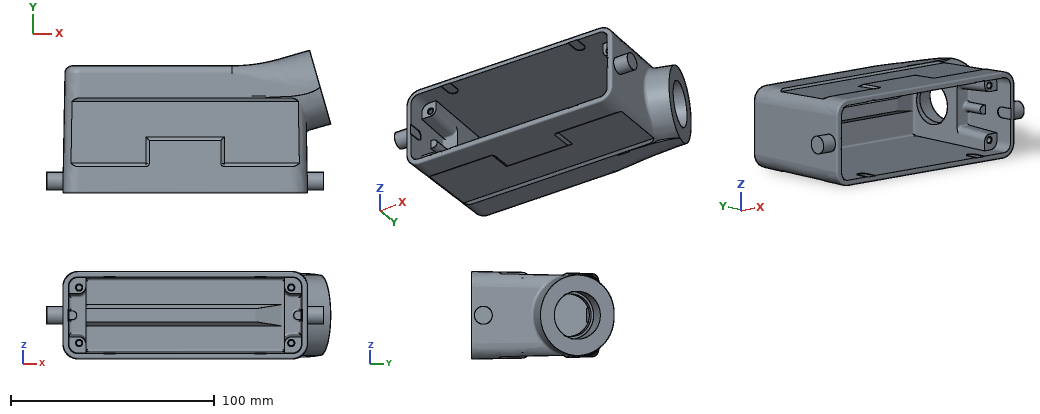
import cadquery as cq
import math

BODY_LENGTH = 120.0
BODY_WIDTH = 43.02
BODY_DEPTH = 62.5
DRAFT_ANGLE = 1.0
DRAFT = math.tan(math.radians(DRAFT_ANGLE))
BODY_CORNER_R = 7.5
ROOF_EDGE_R = 3.8
RIM_EDGE_R = 0.8

CAVITY_LENGTH = 114.4
CAVITY_WIDTH = 37.4
CAVITY_CORNER_R = 4.4
ROOF_THICKNESS = 3.0
CEILING_Y = BODY_DEPTH - ROOF_THICKNESS
CEILING_EDGE_R = 1.0

SHELF_Y = 29.0
SHELF_INNER_X = 48.7
SHELF_FOOT_R = 1.0
POST_FACE_Y = 9.5
POST_TIP_Z = 10.6
POST_BASE_Z = 9.4
POST_EDGE_R = 3.4
SCREW_X = 52.0
SCREW_Z = 13.6
SCREW_D = 2.7
SCREW_MOUTH_D = 3.5
SCREW_DEPTH = 15.0
END_RIB_FACE_Y = 17.4
END_RIB_R = 2.2
END_RIB_REACH = 4.0

RIB_HEIGHT = 3.0
RIB_BASE_WIDTH = 10.4
RIB_TOP_WIDTH = 6.4
RIB_SLOPE_START_X = 34.5
RIB_END_X = 47.0

SLOT_WIDTH = 5.4
SLOT_LENGTH = 9.0
SLOT_DEPTH = 0.2
SLOT_X = 37.0

PIN_D = 8.8
PIN_Y = 5.9
PIN_TIP_X = 67.9

PANEL_DEPTH = 1.0
PANEL_Y0 = 14.7
PANEL_Y1 = 45.0
TAB_LEFT_X = -19.3
TAB_RIGHT_X = 19.2
TAB_TOP_Y = 27.6
PANEL_BEVEL = 1.7

ENTRY_TILT = 16.0
ENTRY_TIP_X = 71.4
ENTRY_TOP_Y = 70.04
ENTRY_HEIGHT = 37.6
ENTRY_WIDTH = 39.4
BLEND_START_X = 22.9
BLEND_STEPS = 3
BLEND_EDGE_R = 13.0
BLEND_EDGE_GROWTH = 1.5
ENTRY_EDGE_R = 18.6
BLEND_BASE_Y = PANEL_Y1 + PANEL_BEVEL
COLLAR_LENGTH = 22.0
COLLAR_FOOT_R = 1.5
TRIM_BEND_X = 44.0
TRIM_OVERLAP = 1.0
TRIM_END_RISE = 4.4
BORE_D = 21.0
THREAD_D = 23.5
THREAD_LENGTH = 12.0
BORE_OVERRUN = 3.0

CUT_MARGIN = 1.0
EDGE_TOLERANCE = 0.1

TILT_SIN = math.sin(math.radians(ENTRY_TILT))
TILT_COS = math.cos(math.radians(ENTRY_TILT))
ENTRY_AXIS = cq.Vector(TILT_COS, TILT_SIN, 0)
ENTRY_UP = cq.Vector(-TILT_SIN, TILT_COS, 0)
ENTRY_TOP = cq.Vector(ENTRY_TIP_X - ENTRY_HEIGHT * TILT_SIN, ENTRY_TOP_Y, 0)
ENTRY_CENTRE = ENTRY_TOP - ENTRY_UP * (ENTRY_HEIGHT / 2)


def body_half_width(y):
    return BODY_WIDTH / 2 - DRAFT * y


def drafted_box(length, width, y0, y1):
    """Box from y0 to y1 whose length and width are given at Y = 0 and shrink with the draft."""
    near = 2 * DRAFT * y0
    far = 2 * DRAFT * y1
    return (
        cq.Workplane("XZ", origin=(0, y0, 0))
        .rect(length - near, width - near)
        .workplane(offset=y0 - y1)
        .rect(length - far, width - far)
        .loft(ruled=True)
    )


def block(x0, x1, y0, y1, z0, z1):
    size = (x1 - x0, y1 - y0, z1 - z0)
    return cq.Workplane("XY").box(*size, centered=False).translate((x0, y0, z0))


def rod(diameter, start, direction, length):
    return cq.Workplane(cq.Solid.makeCylinder(diameter / 2, length, start, direction))


def make_body():
    body = drafted_box(BODY_LENGTH, BODY_WIDTH, 0, BODY_DEPTH)
    side_edges = body.edges("not(<Y or >Y)")
    body = side_edges.fillet(BODY_CORNER_R)
    return body.faces(">Y").edges().fillet(ROOF_EDGE_R).faces("<Y").edges().fillet(RIM_EDGE_R)


def make_panel_recess():
    """Cutter for the +Z panel; its walls lean outwards and it runs out through the rounded corners."""
    half_length = BODY_LENGTH / 2 + CUT_MARGIN
    outline = [
        (-half_length, PANEL_Y0),
        (TAB_LEFT_X, PANEL_Y0),
        (TAB_LEFT_X, TAB_TOP_Y),
        (TAB_RIGHT_X, TAB_TOP_Y),
        (TAB_RIGHT_X, PANEL_Y0),
        (half_length, PANEL_Y0),
        (half_length, PANEL_Y1),
        (-half_length, PANEL_Y1),
    ]
    bevel_angle = math.degrees(math.atan2(PANEL_BEVEL, PANEL_DEPTH))
    panel = cq.Workplane("XY").polyline(outline).close().extrude(2 * PANEL_DEPTH, taper=-bevel_angle)
    middle_y = (PANEL_Y0 + PANEL_Y1) / 2
    floor_z = body_half_width(middle_y) - PANEL_DEPTH
    leaning = panel.rotate((0, middle_y, 0), (1, middle_y, 0), -DRAFT_ANGLE)
    return leaning.translate((0, 0, floor_z))


def blend_section(top, tilt, half_width, base_half_width, edge_r, height):
    """Wire across the cable entry: flat sides and base, rounded upper edges."""
    sin_tilt = math.sin(math.radians(tilt))
    cos_tilt = math.cos(math.radians(tilt))
    plane = cq.Plane(origin=top.toTuple(), xDir=(0, 0, -1), normal=(cos_tilt, sin_tilt, 0))
    inner = half_width - edge_r
    diagonal = edge_r * math.sqrt(0.5)
    return (
        cq.Workplane(plane)
        .moveTo(-base_half_width, -height)
        .lineTo(-half_width, -edge_r)
        .threePointArc((-inner - diagonal, diagonal - edge_r), (-inner, 0))
        .lineTo(inner, 0)
        .threePointArc((inner + diagonal, diagonal - edge_r), (half_width, -edge_r))
        .lineTo(base_half_width, -height)
        .close()
        .wires()
        .val()
    )


def make_entry():
    """Blend rising out of the roof in an arc, ending as a tilted, nearly round collar."""
    tangent_y = ENTRY_TOP.y - BODY_DEPTH
    tangent_x = ENTRY_TOP.x - tangent_y * TILT_COS / TILT_SIN
    tangent_length = tangent_x - BLEND_START_X
    arc_r = tangent_length / math.tan(math.radians(ENTRY_TILT / 2))

    sections = []
    for step in range(BLEND_STEPS + 1):
        share = step / BLEND_STEPS
        tilt = share * ENTRY_TILT
        rise = arc_r * (1 - math.cos(math.radians(tilt)))
        top = cq.Vector(BLEND_START_X + arc_r * math.sin(math.radians(tilt)), BODY_DEPTH + rise, 0)
        edge_r = ROOF_EDGE_R + share**BLEND_EDGE_GROWTH * (BLEND_EDGE_R - ROOF_EDGE_R)
        half_width = body_half_width(top.y - edge_r)
        base_half_width = body_half_width(BLEND_BASE_Y)
        height = top.y - BLEND_BASE_Y
        sections.append(blend_section(top, tilt, half_width, base_half_width, edge_r, height))
    end_half_width = ENTRY_WIDTH / 2
    end_height = ENTRY_HEIGHT / 2
    sections.append(
        blend_section(ENTRY_TOP, ENTRY_TILT, end_half_width, end_half_width, ENTRY_EDGE_R, end_height)
    )
    upper = cq.Workplane(cq.Solid.makeLoft(sections, False))

    collar_plane = cq.Plane(
        origin=ENTRY_CENTRE.toTuple(), xDir=(0, 0, 1), normal=ENTRY_AXIS.toTuple()
    )
    lower = cq.Workplane(collar_plane).ellipse(end_half_width, end_height).extrude(-COLLAR_LENGTH)
    return upper.union(lower)


def make_roof_trim():
    """The roof beyond the start of the blend, which the cable entry replaces."""
    outline = [
        (BLEND_START_X, BODY_DEPTH + CUT_MARGIN),
        (BLEND_START_X, BLEND_BASE_Y + TRIM_OVERLAP),
        (TRIM_BEND_X, BLEND_BASE_Y + TRIM_OVERLAP),
        (BODY_LENGTH / 2 + CUT_MARGIN, BLEND_BASE_Y + TRIM_END_RISE),
        (BODY_LENGTH / 2 + CUT_MARGIN, BODY_DEPTH + CUT_MARGIN),
    ]
    return cq.Workplane("XY").polyline(outline).close().extrude(BODY_WIDTH / 2, both=True)


def round_collar_foot(outer):
    """Round the corner where the underside of the collar meets the end wall."""
    middle_y = ENTRY_CENTRE.y - ENTRY_HEIGHT / 2
    near = (BODY_LENGTH / 2 - COLLAR_FOOT_R, middle_y - COLLAR_FOOT_R, -BODY_CORNER_R)
    far = (BODY_LENGTH / 2, middle_y + COLLAR_FOOT_R, BODY_CORNER_R)
    return outer.edges(cq.selectors.BoxSelector(near, far)).fillet(COLLAR_FOOT_R)


def make_end_fillings():
    """Shelves, corner posts and end ribs left standing inside the cavity, solid up to the ceiling."""
    outer_x = BODY_LENGTH / 2
    outer_z = BODY_WIDTH / 2
    shelf = block(SHELF_INNER_X, outer_x, SHELF_Y, BODY_DEPTH, -outer_z, outer_z)
    post_side = [
        (POST_FACE_Y, POST_TIP_Z),
        (SHELF_Y, POST_BASE_Z),
        (SHELF_Y, outer_z),
        (POST_FACE_Y, outer_z),
    ]
    post = (
        cq.Workplane("YZ", origin=(SHELF_INNER_X, 0, 0))
        .polyline(post_side)
        .close()
        .extrude(outer_x - SHELF_INNER_X)
    )
    post = post.faces("<X").edges("<Z").fillet(POST_EDGE_R)
    rib_x = CAVITY_LENGTH / 2 - END_RIB_REACH + END_RIB_R
    rib_height = SHELF_Y - END_RIB_FACE_Y
    rib = rod(2 * END_RIB_R, cq.Vector(rib_x, END_RIB_FACE_Y, 0), cq.Vector(0, 1, 0), rib_height)
    rib = rib.union(block(rib_x, outer_x, END_RIB_FACE_Y, SHELF_Y, -END_RIB_R, END_RIB_R))
    end = shelf.union(post).union(post.mirror("XY")).union(rib)
    return end.union(end.mirror("YZ"))


def make_ceiling_rib():
    crest_y = CEILING_Y - RIB_HEIGHT
    rib_section = [
        (CEILING_Y + CUT_MARGIN, -RIB_BASE_WIDTH / 2),
        (CEILING_Y, -RIB_BASE_WIDTH / 2),
        (crest_y, -RIB_TOP_WIDTH / 2),
        (crest_y, RIB_TOP_WIDTH / 2),
        (CEILING_Y, RIB_BASE_WIDTH / 2),
        (CEILING_Y + CUT_MARGIN, RIB_BASE_WIDTH / 2),
    ]
    rib = (
        cq.Workplane("YZ", origin=(-SHELF_INNER_X, 0, 0))
        .polyline(rib_section)
        .close()
        .extrude(SHELF_INNER_X + RIB_END_X)
    )
    run_out = (
        cq.Workplane("XY")
        .polyline([(RIB_SLOPE_START_X, crest_y), (RIB_END_X, crest_y), (RIB_END_X, CEILING_Y)])
        .close()
        .extrude(RIB_BASE_WIDTH, both=True)
    )
    return rib.cut(run_out)


def make_cavity():
    cavity = drafted_box(CAVITY_LENGTH, CAVITY_WIDTH, 0, CEILING_Y)
    cavity = cavity.edges("not(<Y or >Y)").fillet(CAVITY_CORNER_R)
    cavity = cavity.cut(make_end_fillings())
    cavity = cavity.faces(">Y").edges().fillet(CEILING_EDGE_R)
    for side in (-1, 1):
        near = (side * (SHELF_INNER_X + CUT_MARGIN), SHELF_Y - EDGE_TOLERANCE, -CAVITY_WIDTH / 3)
        far = (side * BODY_LENGTH / 2, SHELF_Y + EDGE_TOLERANCE, CAVITY_WIDTH / 3)
        cavity = cavity.edges(cq.selectors.BoxSelector(near, far)).fillet(SHELF_FOOT_R)
    return cavity.cut(make_ceiling_rib())


def make_wall_slots():
    """Cutter bars for the slots: two through both broad walls, one through both end walls."""
    round_y = SLOT_LENGTH - SLOT_WIDTH / 2
    half_width = SLOT_WIDTH / 2
    across = CAVITY_WIDTH + 2 * SLOT_DEPTH
    along = CAVITY_LENGTH + 2 * SLOT_DEPTH
    bar = rod(SLOT_WIDTH, cq.Vector(0, round_y, -across / 2), cq.Vector(0, 0, 1), across)
    bar = bar.union(block(-half_width, half_width, 0, round_y, -across / 2, across / 2))
    end_bar = rod(SLOT_WIDTH, cq.Vector(-along / 2, round_y, 0), cq.Vector(1, 0, 0), along)
    end_bar = end_bar.union(block(-along / 2, along / 2, 0, round_y, -half_width, half_width))
    return end_bar.union(bar.translate((SLOT_X, 0, 0))).union(bar.translate((-SLOT_X, 0, 0)))


def make_screw_holes():
    holes = cq.Workplane()
    into = cq.Vector(0, 1, 0)
    flare = (SCREW_MOUTH_D - SCREW_D) / 2
    for x in (-SCREW_X, SCREW_X):
        for z in (-SCREW_Z, SCREW_Z):
            mouth = cq.Vector(x, POST_FACE_Y, z)
            holes = holes.add(cq.Solid.makeCylinder(SCREW_D / 2, SCREW_DEPTH, mouth, into))
            holes = holes.add(cq.Solid.makeCone(SCREW_MOUTH_D / 2, SCREW_D / 2, flare, mouth, into))
    return holes.combine()


def make_entry_bore():
    """Threaded seat from the collar face, then a smaller bore into the cavity."""
    bore_length = (ENTRY_CENTRE.x - RIB_END_X) / TILT_COS + BORE_OVERRUN
    bore = rod(BORE_D, ENTRY_CENTRE, ENTRY_AXIS * -1, bore_length)
    return bore.union(rod(THREAD_D, ENTRY_CENTRE, ENTRY_AXIS * -1, THREAD_LENGTH))


def make_pins():
    inner_x = (BODY_LENGTH + CAVITY_LENGTH) / 4
    length = PIN_TIP_X - inner_x
    pin = rod(PIN_D, cq.Vector(inner_x, PIN_Y, 0), cq.Vector(1, 0, 0), length)
    return pin.union(pin.mirror("YZ"))


panel_recess = make_panel_recess()
body = make_body().cut(panel_recess).cut(panel_recess.mirror("XY"))
outer = round_collar_foot(body.cut(make_roof_trim()).union(make_entry()))
hollow = outer.cut(make_cavity()).cut(make_wall_slots()).cut(make_screw_holes()).cut(make_entry_bore())
result = hollow.union(make_pins())